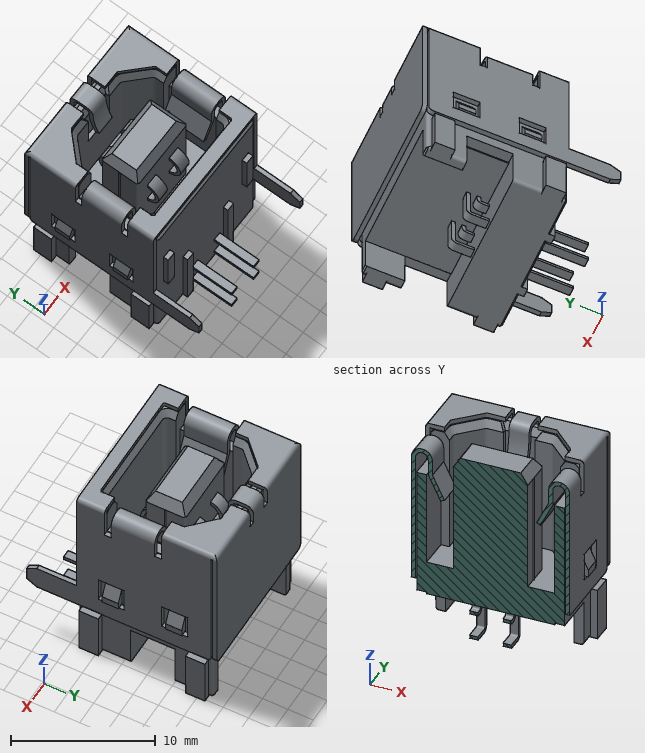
import cadquery as cq
import math


SHEET = 0.35
SHELL_HALF_WIDTH = 6.0
SHELL_REAR = 11.07
SHELL_TOP = 15.71
SHELL_BOTTOM = 4.44
SIDE_INNER_X = SHELL_HALF_WIDTH - SHEET
REAR_INNER_Y = SHELL_REAR - SHEET
TOP_INNER_Z = SHELL_TOP - SHEET
SIDE_WALL_REAR = 10.6
SIDE_CORNER_RADIUS = 0.35
REAR_CORNER_RADIUS = 0.47

TAB_TIP_Y = -3.93
TAB_TOP = 6.42
TAB_CHAMFER_LENGTH = 0.8
TAB_CHAMFER_HEIGHT = 0.47

LATCH_PITCH = 5.0
LATCH_MID_Y = 5.24
WINDOW_LENGTH = 2.03
WINDOW_BOTTOM = 5.95
WINDOW_TOP = 8.03

OPENING_HALF_WIDTH = 4.55
OPENING_FRONT = 1.06
OPENING_REAR = 9.55
OPENING_BEVEL_X = 1.9
OPENING_BEVEL_Y = 1.86
OPENING_RADIUS = 0.15

GAP_FRONT = 2.2
GAP_REAR = 6.7
GAP_BOTTOM = 13.17
SPRING_FRONT = 2.73
SPRING_REAR = 6.17
SPRING_RADIUS = 0.81
SPRING_TOP = 15.19
SPRING_KINK_Z = 13.25
SPRING_TIP_X = 3.47
SPRING_TIP_Z = 11.4

REAR_GAP_HALF_WIDTH = 1.23
REAR_GAP_BOTTOM = 14.2
REAR_SPRING_HALF_WIDTH = 0.76
REAR_SPRING_RADIUS = 0.66
REAR_SPRING_FLAT = 0.66
REAR_SPRING_FLARE = 0.53
REAR_SPRING_TIP_Z = 12.65

HOUSING_HALF_WIDTH = 5.6
HOUSING_FRONT = -0.07
HOUSING_REAR = 10.54
HOUSING_TOP = 15.3
FRONT_TOP_CHAMFER = 0.53
TOP_CHAMFER = 0.28
UPRIGHT_RADIUS = 0.27
SIDE_BOTTOM_RADIUS = 0.25
FRONT_BOTTOM_CHAMFER = 0.12

CAVITY_INSET = 0.35
CAVITY_FRONT = 1.34
CAVITY_REAR = 9.15
CAVITY_FLOOR = 6.0
CAVITY_RADIUS = 0.4
LEAD_IN = 0.37
LEAD_IN_DEPTH = 0.58
POCKET_HALF_WIDTH = 1.2
POCKET_REAR = 9.48
POCKET_FLOOR = 11.3
SPRING_POCKET_X = 4.83

TONGUE_HALF_WIDTH = 2.83
TONGUE_FRONT = 3.67
TONGUE_REAR = 6.84
TONGUE_TOP = 15.19
TONGUE_BEVEL_HEIGHT = 0.88
TONGUE_BEVEL_INSET = 0.53
TONGUE_RADIUS = 0.2
RIDGE_RADIUS = 0.07
CONTACT_WIDTH = 1.0
CONTACT_RISE = 0.98
CONTACT_HALF_LENGTH = 1.3
CONTACT_THICKNESS = 0.29
CONTACT_MID_Z = 11.0

LATCH_LENGTH = 1.27
LATCH_BOTTOM = 6.0
LATCH_FLAT_TOP = 6.56
LATCH_TOP = 7.7
OUTER_HALF_WIDTH = 6.13
PAD_TOP = 3.97
PAD_SPANS_Y = ((0.265, 1.8), (8.675, 10.2))
RIB_FACE_Y = -0.46
LOWER_RIB_X = (2.0, 2.64)
LOWER_RIB_TOP = 6.56
UPPER_RIB_X = (4.18, 4.89)
UPPER_RIB_TOP = 10.74

NOTCH_FRONT = 4.04
NOTCH_REAR = 7.55
NOTCH_TOP = 3.5
LEG_THICKNESS = 0.75
CEILING_Z = 3.37
TAIL_X = 1.265
TAIL_WIDTH = 0.64
TAIL_THICKNESS = 0.29
TAIL_TIP_Y = -3.45
TAIL_BEND_RADIUS = 0.15
TAIL_EMBED = 0.5
TAILS = ((5.77, 0.58), (4.98, 2.57))


def block(x_span, y_span, z_span):
    """Box between the given limits."""
    size = [high - low for low, high in (x_span, y_span, z_span)]
    corner = (x_span[0], y_span[0], z_span[0])
    return cq.Workplane("XY").box(*size, centered=False).translate(corner)


def both_sides(shape):
    """The shape together with its mirror image across X = 0."""
    return shape.union(shape.mirror("YZ"))


def plug_outline(half_width, front, rear, inset, radius, z_low, z_high):
    """Prism shaped like the plug: a rectangle, inset from the opening, with both rear corners cut off."""
    bevel_shrink = inset * (2 - math.sqrt(2))
    bevel_y = rear - OPENING_BEVEL_Y + bevel_shrink
    bevel_x = half_width - OPENING_BEVEL_X + bevel_shrink
    points = [
        (-half_width, front),
        (half_width, front),
        (half_width, bevel_y),
        (bevel_x, rear),
        (-bevel_x, rear),
        (-half_width, bevel_y),
    ]
    prism = cq.Workplane("XY").workplane(offset=z_low).polyline(points).close().extrude(z_high - z_low)
    return prism.edges("|Z").fillet(radius)


def lower_corners(y_low, y_high):
    """Selector for edges at the bottom of the shell between two Y limits."""
    return cq.selectors.BoxSelector(
        (-SHELL_HALF_WIDTH - SHEET, y_low, SHELL_BOTTOM - SHEET),
        (SHELL_HALF_WIDTH + SHEET, y_high, SHELL_BOTTOM + SHEET),
    )


def shell_cover():
    """Top plate, rear wall and two side walls."""
    cover = block((-SHELL_HALF_WIDTH, SHELL_HALF_WIDTH), (0, SHELL_REAR), (SHELL_BOTTOM, SHELL_TOP))
    cover = cover.faces(">Z").edges("<X or >X or >Y").fillet(SHEET)
    inside = block((-SIDE_INNER_X, SIDE_INNER_X), (0, REAR_INNER_Y), (SHELL_BOTTOM, TOP_INNER_Z))
    slit = block(
        (-SHELL_HALF_WIDTH, SHELL_HALF_WIDTH), (SIDE_WALL_REAR, REAR_INNER_Y), (SHELL_BOTTOM, TOP_INNER_Z)
    )
    cover = cover.cut(inside).cut(slit)
    cover = cover.edges("|Y").edges(lower_corners(REAR_INNER_Y, SHELL_REAR)).fillet(REAR_CORNER_RADIUS)
    side_ends = lower_corners(SIDE_WALL_REAR - SHEET / 4, SIDE_WALL_REAR + SHEET / 4)
    return cover.edges("|X").edges(side_ends).fillet(SIDE_CORNER_RADIUS)


def mounting_tab():
    """Pointed tab on the +X side."""
    shoulder_y = TAB_TIP_Y + TAB_CHAMFER_LENGTH
    points = [
        (0, SHELL_BOTTOM),
        (shoulder_y, SHELL_BOTTOM),
        (TAB_TIP_Y, SHELL_BOTTOM + TAB_CHAMFER_HEIGHT),
        (TAB_TIP_Y, TAB_TOP - TAB_CHAMFER_HEIGHT),
        (shoulder_y, TAB_TOP),
        (0, TAB_TOP),
    ]
    return cq.Workplane("YZ").workplane(offset=SIDE_INNER_X).polyline(points).close().extrude(SHEET)


def side_spring():
    """Spring on the +X side: rolled over inward, straight down, then flared toward the plug."""
    inner_radius = SPRING_RADIUS - SHEET
    axis_x = SHELL_HALF_WIDTH - SPRING_RADIUS
    axis_z = SPRING_TOP - SPRING_RADIUS
    plug_x = axis_x - SPRING_RADIUS
    flare = math.atan2(plug_x - SPRING_TIP_X, SPRING_KINK_Z - SPRING_TIP_Z)
    back_kink_z = SPRING_KINK_Z - SHEET * math.tan(flare / 2)
    back_tip = (SPRING_TIP_X + SHEET * math.cos(flare), SPRING_TIP_Z - SHEET * math.sin(flare))
    strip = (
        cq.Workplane("XZ", origin=(0, SPRING_REAR, 0))
        .moveTo(SHELL_HALF_WIDTH, GAP_BOTTOM)
        .lineTo(SHELL_HALF_WIDTH, axis_z)
        .threePointArc((axis_x, SPRING_TOP), (plug_x, axis_z))
        .lineTo(plug_x, SPRING_KINK_Z)
        .lineTo(SPRING_TIP_X, SPRING_TIP_Z)
        .lineTo(*back_tip)
        .lineTo(plug_x + SHEET, back_kink_z)
        .lineTo(plug_x + SHEET, axis_z)
        .threePointArc((axis_x, axis_z + inner_radius), (SIDE_INNER_X, axis_z))
        .lineTo(SIDE_INNER_X, GAP_BOTTOM)
        .close()
    )
    return strip.extrude(SPRING_REAR - SPRING_FRONT)


def rear_spring():
    """Spring rising from the rear wall, bent over forward and down, with a flared tip."""
    outer = REAR_SPRING_RADIUS
    inner = outer - SHEET
    diagonal = math.sqrt(0.5)
    axis_z = SHELL_TOP - outer
    rear_axis_y = SHELL_REAR - outer
    front_axis_y = rear_axis_y - REAR_SPRING_FLAT
    plug_y = front_axis_y - outer
    drop = axis_z - REAR_SPRING_TIP_Z
    flare_radius = (drop**2 + REAR_SPRING_FLARE**2) / (2 * REAR_SPRING_FLARE)
    flare = math.asin(drop / flare_radius)

    def flare_point(radius, angle):
        return (plug_y - flare_radius + radius * math.cos(angle), axis_z - radius * math.sin(angle))

    back_radius = flare_radius + SHEET
    strip = (
        cq.Workplane("YZ", origin=(-REAR_SPRING_HALF_WIDTH, 0, 0))
        .moveTo(SHELL_REAR, REAR_GAP_BOTTOM)
        .lineTo(SHELL_REAR, axis_z)
        .threePointArc(
            (rear_axis_y + outer * diagonal, axis_z + outer * diagonal), (rear_axis_y, SHELL_TOP)
        )
        .lineTo(front_axis_y, SHELL_TOP)
        .threePointArc((front_axis_y - outer * diagonal, axis_z + outer * diagonal), (plug_y, axis_z))
        .threePointArc(flare_point(flare_radius, flare / 2), flare_point(flare_radius, flare))
        .lineTo(*flare_point(back_radius, flare))
        .threePointArc(flare_point(back_radius, flare / 2), flare_point(back_radius, 0))
        .threePointArc(
            (front_axis_y - inner * diagonal, axis_z + inner * diagonal), (front_axis_y, TOP_INNER_Z)
        )
        .lineTo(rear_axis_y, TOP_INNER_Z)
        .threePointArc(
            (rear_axis_y + inner * diagonal, axis_z + inner * diagonal), (REAR_INNER_Y, axis_z)
        )
        .lineTo(REAR_INNER_Y, REAR_GAP_BOTTOM)
        .close()
    )
    return strip.extrude(2 * REAR_SPRING_HALF_WIDTH)


def make_shell():
    shell = shell_cover()
    full_width = (-SHELL_HALF_WIDTH, SHELL_HALF_WIDTH)
    shell = shell.cut(
        plug_outline(
            OPENING_HALF_WIDTH, OPENING_FRONT, OPENING_REAR, 0, OPENING_RADIUS, TOP_INNER_Z, SHELL_TOP
        )
    )
    shell = shell.cut(block(full_width, (GAP_FRONT, GAP_REAR), (GAP_BOTTOM, SHELL_TOP)))
    shell = shell.cut(
        block(
            (-REAR_GAP_HALF_WIDTH, REAR_GAP_HALF_WIDTH),
            (OPENING_FRONT + OPENING_BEVEL_Y, SHELL_REAR),
            (REAR_GAP_BOTTOM, SHELL_TOP),
        )
    )
    for side in (-1, 1):
        middle = LATCH_MID_Y + side * LATCH_PITCH / 2
        window_y = (middle - WINDOW_LENGTH / 2, middle + WINDOW_LENGTH / 2)
        shell = shell.cut(block(full_width, window_y, (WINDOW_BOTTOM, WINDOW_TOP)))
    return shell.union(both_sides(mounting_tab())).union(both_sides(side_spring())).union(rear_spring())


def housing_block():
    """Outer block with its edge breaks, before anything is cut into it."""
    plain = block((-HOUSING_HALF_WIDTH, HOUSING_HALF_WIDTH), (HOUSING_FRONT, HOUSING_REAR), (0, HOUSING_TOP))
    body = plain.faces(">Z").edges("<Y").chamfer(FRONT_TOP_CHAMFER)
    body = body.faces(">Z").edges("<X or >X or >Y").chamfer(TOP_CHAMFER)
    body = body.faces("<Z").edges("|Y").fillet(SIDE_BOTTOM_RADIUS)
    body = body.faces("<Z").edges("|X").chamfer(FRONT_BOTTOM_CHAMFER)
    return body.intersect(plain.edges("|Z").fillet(UPRIGHT_RADIUS))


def cut_cavity(body):
    """Plug cavity with the rear spring pocket, its lead-in, and the side spring pockets."""
    cavity = plug_outline(
        OPENING_HALF_WIDTH - CAVITY_INSET,
        CAVITY_FRONT,
        CAVITY_REAR,
        CAVITY_INSET,
        CAVITY_RADIUS,
        CAVITY_FLOOR,
        HOUSING_TOP,
    )
    pocket = block(
        (-POCKET_HALF_WIDTH, POCKET_HALF_WIDTH), (LATCH_MID_Y, POCKET_REAR), (POCKET_FLOOR, HOUSING_TOP)
    )
    body = body.cut(cavity.union(pocket))
    rim = cq.selectors.BoxSelector(
        (-OPENING_HALF_WIDTH, OPENING_FRONT, HOUSING_TOP - LEAD_IN),
        (OPENING_HALF_WIDTH, OPENING_REAR, HOUSING_TOP + LEAD_IN),
    )
    body = body.faces(">Z").edges(rim).chamfer(LEAD_IN, LEAD_IN_DEPTH)
    gap_y = (GAP_FRONT, GAP_REAR)
    body = body.cut(block((-HOUSING_HALF_WIDTH, HOUSING_HALF_WIDTH), gap_y, (GAP_BOTTOM, HOUSING_TOP)))
    return body.cut(block((-SPRING_POCKET_X, SPRING_POCKET_X), gap_y, (CAVITY_FLOOR, HOUSING_TOP)))


def cut_underside(body):
    """Hollow between the legs, open to the rear, and the gap between front and rear legs."""
    legs_inner_x = HOUSING_HALF_WIDTH - LEG_THICKNESS
    side_gap = block((legs_inner_x, HOUSING_HALF_WIDTH), (NOTCH_FRONT, NOTCH_REAR), (0, NOTCH_TOP))
    body = body.cut(both_sides(side_gap))
    return body.cut(block((-legs_inner_x, legs_inner_x), (NOTCH_FRONT, HOUSING_REAR), (0, CEILING_Z)))


def tongue():
    """Contact carrier rising from the cavity floor, beveled around its top."""
    length = TONGUE_REAR - TONGUE_FRONT
    middle_y = (TONGUE_FRONT + TONGUE_REAR) / 2
    bevel_z = TONGUE_TOP - TONGUE_BEVEL_HEIGHT
    taper = math.degrees(math.atan2(TONGUE_BEVEL_INSET, TONGUE_BEVEL_HEIGHT))
    column = block(
        (-TONGUE_HALF_WIDTH, TONGUE_HALF_WIDTH), (TONGUE_FRONT, TONGUE_REAR), (CAVITY_FLOOR, TONGUE_TOP)
    )
    column = column.edges("|Z").fillet(TONGUE_RADIUS)
    envelope = (
        cq.Workplane("XY", origin=(0, middle_y, bevel_z))
        .rect(2 * TONGUE_HALF_WIDTH, length)
        .extrude(TONGUE_BEVEL_HEIGHT, taper=taper)
    )
    envelope = envelope.union(
        block(
            (-TONGUE_HALF_WIDTH, TONGUE_HALF_WIDTH), (TONGUE_FRONT, TONGUE_REAR), (CAVITY_FLOOR, bevel_z)
        )
    )
    ridges = (
        cq.Workplane("XY", origin=(0, middle_y, CAVITY_FLOOR))
        .pushPoints([(-TONGUE_HALF_WIDTH, 0), (TONGUE_HALF_WIDTH, 0)])
        .circle(RIDGE_RADIUS)
        .extrude(bevel_z - CAVITY_FLOOR)
    )
    return column.intersect(envelope).union(ridges)


def contact(x, face_y, side):
    """Bowed contact on one face of the tongue; side is +1 on the rear face, -1 on the front face."""
    radius = (CONTACT_HALF_LENGTH**2 + CONTACT_RISE**2) / (2 * CONTACT_RISE)
    bow = (
        cq.Workplane("YZ", origin=(x - CONTACT_WIDTH / 2, 0, 0))
        .moveTo(face_y, CONTACT_MID_Z - CONTACT_HALF_LENGTH)
        .threePointArc(
            (face_y + side * CONTACT_RISE, CONTACT_MID_Z), (face_y, CONTACT_MID_Z + CONTACT_HALF_LENGTH)
        )
        .close()
        .extrude(CONTACT_WIDTH)
    )
    hollow_y = face_y + side * (CONTACT_RISE - radius)
    hollow = (
        cq.Workplane("YZ", origin=(x - CONTACT_WIDTH / 2, hollow_y, CONTACT_MID_Z))
        .circle(radius - CONTACT_THICKNESS)
        .extrude(CONTACT_WIDTH)
    )
    return bow.cut(hollow)


def solder_tail(x, rear_y, low_z):
    """Tail coming down from the ceiling and bent forward through the front wall."""
    outer = TAIL_BEND_RADIUS + TAIL_THICKNESS
    points = [
        (rear_y, CEILING_Z + TAIL_EMBED),
        (rear_y, low_z),
        (TAIL_TIP_Y, low_z),
        (TAIL_TIP_Y, low_z + TAIL_THICKNESS),
        (rear_y - TAIL_THICKNESS, low_z + TAIL_THICKNESS),
        (rear_y - TAIL_THICKNESS, CEILING_Z + TAIL_EMBED),
    ]
    tail = cq.Workplane("YZ", origin=(x - TAIL_WIDTH / 2, 0, 0)).polyline(points).close().extrude(TAIL_WIDTH)
    tail = tail.edges("|X").edges(cq.NearestToPointSelector((x, rear_y, low_z))).fillet(outer)
    inner_corner = (x, rear_y - TAIL_THICKNESS, low_z + TAIL_THICKNESS)
    return tail.edges("|X").edges(cq.NearestToPointSelector(inner_corner)).fillet(TAIL_BEND_RADIUS)


def latch(middle_y):
    """Wedge on the +X side that snaps into a shell window."""
    points = [
        (HOUSING_HALF_WIDTH, LATCH_BOTTOM),
        (OUTER_HALF_WIDTH, LATCH_BOTTOM),
        (OUTER_HALF_WIDTH, LATCH_FLAT_TOP),
        (HOUSING_HALF_WIDTH, LATCH_TOP),
    ]
    plane = cq.Workplane("XZ", origin=(0, middle_y + LATCH_LENGTH / 2, 0))
    return plane.polyline(points).close().extrude(LATCH_LENGTH)


def outer_details():
    """Latches, foot pads and front ribs of the +X half."""
    half = latch(LATCH_MID_Y - LATCH_PITCH / 2).union(latch(LATCH_MID_Y + LATCH_PITCH / 2))
    pad_x = (HOUSING_HALF_WIDTH - SIDE_BOTTOM_RADIUS, OUTER_HALF_WIDTH)
    for pad_y in PAD_SPANS_Y:
        half = half.union(block(pad_x, pad_y, (0, PAD_TOP)))
    lower_rib_y = (RIB_FACE_Y, HOUSING_FRONT + FRONT_BOTTOM_CHAMFER)
    half = half.union(block(LOWER_RIB_X, lower_rib_y, (0, LOWER_RIB_TOP)))
    return half.union(block(UPPER_RIB_X, (RIB_FACE_Y, HOUSING_FRONT), (LOWER_RIB_TOP, UPPER_RIB_TOP)))


def make_housing():
    body = cut_underside(cut_cavity(housing_block()))
    body = body.union(tongue()).union(both_sides(outer_details()))
    for x in (-TAIL_X, TAIL_X):
        body = body.union(contact(x, TONGUE_REAR, 1)).union(contact(x, TONGUE_FRONT, -1))
        for rear_y, low_z in TAILS:
            body = body.union(solder_tail(x, rear_y, low_z))
    return body


shell = make_shell()
housing = make_housing()
result = cq.Compound.makeCompound([shell.val(), housing.val()])